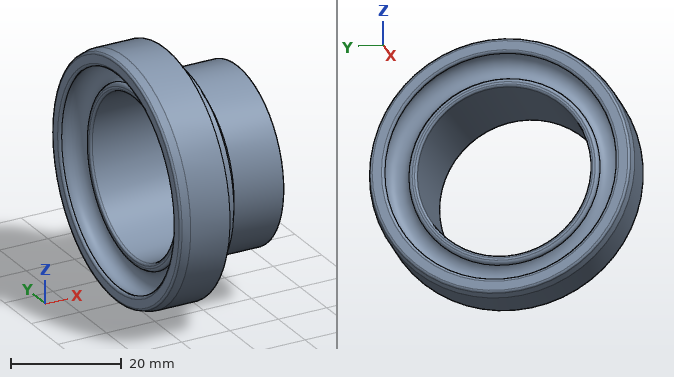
import cadquery as cq
import math

length = 25.0
flange_radius = 48.9 / 2
collar_radius = 41.0 / 2
hub_radius = 35.0 / 2
bore_radius = 32.0 / 2

taper_end_x = 1.9
flange_back_x = 10.02
collar_end_x = 13.0
hub_start_x = 14.7

taper_angle = math.radians(15)
rim_round = 0.5
rim_corner_radius = flange_radius - taper_end_x * math.tan(taper_angle)
rim_tangent = rim_round * math.tan((math.pi / 2 - taper_angle) / 2)

groove_outer_radius = 21.3
groove_outer_round = 0.55
groove_inner_radius = 17.6
groove_bottom_radius = 19.05
groove_depth = 5.0

lip_x = 3.45
lip_outer_round = 0.75
lip_inner_round = 0.45

mid_arc = 1 - math.sqrt(0.5)


def rim_arc_points():
    """Middle and end of the round from the flange face to the taper."""
    center_r = rim_corner_radius - rim_tangent
    half_turn = (math.pi / 2 - taper_angle) / 2
    middle = (rim_round * (1 - math.cos(half_turn)), center_r + rim_round * math.sin(half_turn))
    end = (rim_tangent * math.cos(taper_angle), rim_corner_radius + rim_tangent * math.sin(taper_angle))
    return middle, end


def half_section():
    """Closed half section in the XY plane, with Y as the radius."""
    rim_middle, rim_end = rim_arc_points()
    lip_outer_top = groove_inner_radius - lip_outer_round
    return (
        cq.Workplane("XY")
        .moveTo(0, rim_corner_radius - rim_tangent)
        .threePointArc(rim_middle, rim_end)
        .lineTo(taper_end_x, flange_radius)
        .lineTo(flange_back_x, flange_radius)
        .lineTo(flange_back_x, collar_radius)
        .lineTo(collar_end_x, collar_radius)
        .lineTo(hub_start_x, hub_radius)
        .lineTo(length, hub_radius)
        .lineTo(length, bore_radius)
        .lineTo(lip_x + lip_inner_round, bore_radius)
        .threePointArc(
            (lip_x + mid_arc * lip_inner_round, bore_radius + mid_arc * lip_inner_round),
            (lip_x, bore_radius + lip_inner_round),
        )
        .lineTo(lip_x, lip_outer_top)
        .threePointArc(
            (lip_x + mid_arc * lip_outer_round, groove_inner_radius - mid_arc * lip_outer_round),
            (lip_x + lip_outer_round, groove_inner_radius),
        )
        .threePointArc(
            (groove_depth, groove_bottom_radius),
            (groove_outer_round, groove_outer_radius),
        )
        .threePointArc(
            (mid_arc * groove_outer_round, groove_outer_radius + mid_arc * groove_outer_round),
            (0, groove_outer_radius + groove_outer_round),
        )
        .close()
    )


result = half_section().revolve(360, (0, 0, 0), (1, 0, 0))